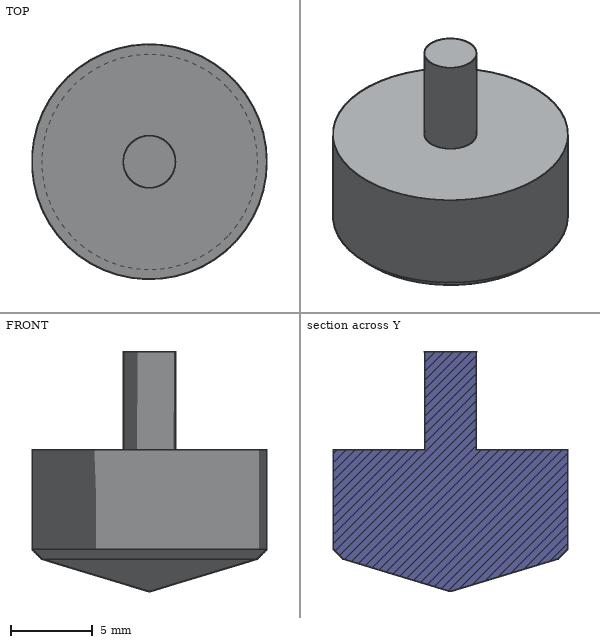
import cadquery as cq

body_diameter = 14.4
pin_diameter = 3.2
pin_length = 6.0
body_height = 6.7
chamfer = 0.6
tip_height = 2.0

body_radius = body_diameter / 2
pin_radius = pin_diameter / 2
tip_radius = body_radius - chamfer
body_top = tip_height + body_height
pin_top = body_top + pin_length


def make_plunger():
    """Revolve the half section: pointed tip, chamfered body and pin."""
    half_section = (
        cq.Workplane("XZ")
        .moveTo(0, 0)
        .lineTo(tip_radius, tip_height)
        .lineTo(body_radius, tip_height + chamfer)
        .lineTo(body_radius, body_top)
        .lineTo(pin_radius, body_top)
        .lineTo(pin_radius, pin_top)
        .lineTo(0, pin_top)
        .close()
    )
    return half_section.revolve(360, (0, 0, 0), (0, 1, 0))


result = make_plunger()